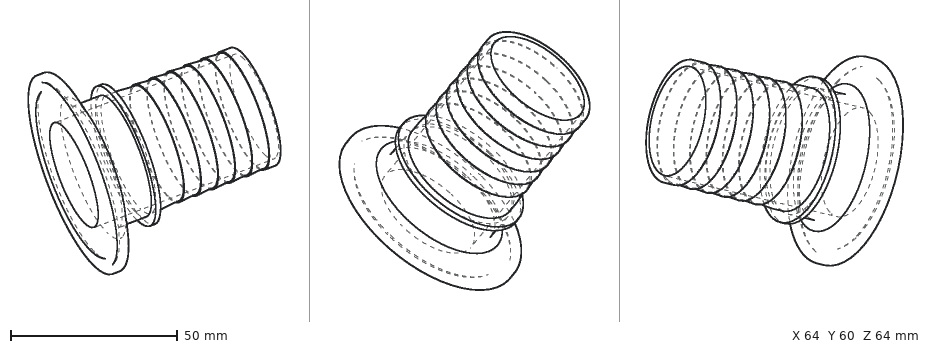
import cadquery as cq
import math

length = 60.0
bore_radius = 16.8

flange_radius = 32.0
flange_back_radius = 22.7
flange_thickness = 6.35
flange_back_angle = 20.0
rim_back_fillet = 0.8
rim_front_fillet = 0.25

groove_center_radius = 28.2
groove_bottom_fillet = 1.3
groove_lip_fillet = 0.8
groove_wall_angle = 70.0

neck_radius = 19.5
neck_fillet = 0.9
collar_radius = 22.5
collar_start = 16.45
collar_thickness = 1.65

barb_radius = 19.0
barb_root_radius = 18.55
barb_count = 6
barb_pitch = 5.7
tip_land = 3.9
tip_fillet = 0.4

collar_end = collar_start + collar_thickness
barbs_start = length - tip_land - barb_count * barb_pitch
cone_rise = (flange_radius - flange_back_radius) * math.tan(math.radians(flange_back_angle))
rim_thickness = flange_thickness - cone_rise


def revolve_about_y(profile):
    return profile.close().revolve(360, (0, 0, 0), (0, 1, 0))


def make_body():
    """Tube with flange, neck, collar and barbs, before rounding."""
    points = [
        (bore_radius, 0),
        (flange_radius, 0),
        (flange_radius, rim_thickness),
        (flange_back_radius, flange_thickness),
        (neck_radius, flange_thickness),
        (neck_radius, collar_start),
        (collar_radius, collar_start),
        (collar_radius, collar_end),
        (barb_radius, collar_end),
    ]
    for i in range(barb_count):
        crest = barbs_start + i * barb_pitch
        points.append((barb_radius, crest))
        points.append((barb_root_radius, crest + barb_pitch))
    points += [
        (barb_radius, length - tip_land),
        (barb_radius, length),
        (bore_radius, length),
    ]
    return revolve_about_y(cq.Workplane("XY").polyline(points))


def fillet_circle(body, radius, y, fillet):
    """Round the circular edge of the given radius at height y along the axis."""
    tolerance = 0.005

    def matches(edge):
        if edge.geomType() != "CIRCLE":
            return False
        return abs(edge.radius() - radius) < tolerance and abs(edge.Center().y - y) < tolerance

    return body.edges().filter(matches).fillet(fillet)


def make_groove():
    """Ring cutter whose lip and bottom arcs meet tangentially at the wall angle."""
    wall = math.radians(groove_wall_angle)
    half_wall = wall / 2
    bottom_half_width = groove_bottom_fillet * math.sin(wall)
    half_width = bottom_half_width + groove_lip_fillet * math.sin(wall)
    wall_depth = groove_lip_fillet * (1 - math.cos(wall))
    depth = wall_depth + groove_bottom_fillet * (1 - math.cos(wall))
    lip_mid = half_width - groove_lip_fillet * math.sin(half_wall)
    lip_mid_depth = groove_lip_fillet * (1 - math.cos(half_wall))
    center = groove_center_radius
    profile = (
        cq.Workplane("XY")
        .moveTo(center - half_width, 0)
        .threePointArc((center - lip_mid, lip_mid_depth), (center - bottom_half_width, wall_depth))
        .threePointArc((center, depth), (center + bottom_half_width, wall_depth))
        .threePointArc((center + lip_mid, lip_mid_depth), (center + half_width, 0))
    )
    return revolve_about_y(profile)


body = make_body()
body = fillet_circle(body, flange_radius, 0, rim_front_fillet)
body = fillet_circle(body, flange_radius, rim_thickness, rim_back_fillet)
body = fillet_circle(body, neck_radius, flange_thickness, neck_fillet)
body = fillet_circle(body, barb_radius, length, tip_fillet)
result = body.cut(make_groove())